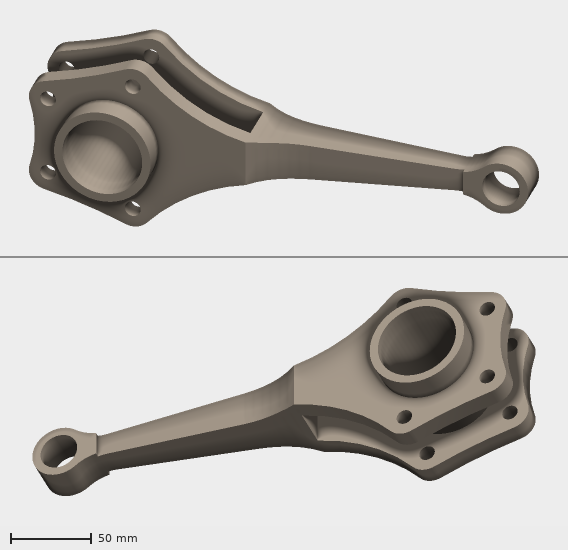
import cadquery as cq
import math

tube_radius = 31.5
bore_radius = 26.0
tube_length = 87.5

fork_width = 53.2
slot_width = 28.2
slot_end_x = 87.5
lobe_radius = 12.5
bolt_hole_radius = 5.0
upper_lobe = (14.7, 43.42)
rear_lobe = (-40.5, 26.1)
upper_edge_radius = 320.5
rear_edge_radius = 78.2

taper_start_x = 126.0
taper_end_x = 217.5
half_height_start = 12.0
half_height_end = 7.7
half_width_start = 13.8
half_width_end = 9.0
neck_radius = 119.5
width_blend_radius = 73.7

eye_center = (250.0, 0.0)
eye_radius = 17.5
eye_hole_radius = 12.2
eye_width = 24.0
eye_start_x = 225.3
eye_fillet_radius = 30.5

eye_end_x = eye_center[0] + eye_radius
taper_length = taper_end_x - taper_start_x
height_slope = (half_height_end - half_height_start) / taper_length
width_slope = (half_width_end - half_width_start) / taper_length


def toward(start, target, distance):
    """Point at a distance from start in the direction of target."""
    length = math.dist(start, target)
    return tuple(s + (t - s) * distance / length for s, t in zip(start, target))


def mirrored(point):
    return (point[0], -point[1])


def lobe_blend_center(first, second, radius):
    """Centre of a concave arc touching two lobes, left of the path from first to second."""
    span = math.dist(first, second)
    height = math.sqrt((radius + lobe_radius) ** 2 - (span / 2) ** 2)
    dx = (second[0] - first[0]) / span
    dz = (second[1] - first[1]) / span
    return (
        (first[0] + second[0]) / 2 - dz * height,
        (first[1] + second[1]) / 2 + dx * height,
    )


def arm_blend(circle_center, circle_radius, radius, side):
    """Centre and arm contact of an arc touching a circle and the arm's upper edge.

    The circle lies on the -X (side -1) or +X (side +1) side of the arm contact.
    """
    scale = math.hypot(1, height_slope)
    along = (1 / scale, height_slope / scale)
    normal = (-along[1], along[0])
    dx = circle_center[0] - taper_start_x
    dz = circle_center[1] - half_height_start
    circle_along = dx * along[0] + dz * along[1]
    circle_above = dx * normal[0] + dz * normal[1]
    reach = math.sqrt((circle_radius + radius) ** 2 - (radius - circle_above) ** 2)
    contact_along = circle_along - side * reach
    contact = (
        taper_start_x + contact_along * along[0],
        half_height_start + contact_along * along[1],
    )
    center = (contact[0] + radius * normal[0], contact[1] + radius * normal[1])
    return center, contact


def arc_middle(center, start, end):
    """Middle of the shorter arc from start to end."""
    chord_middle = ((start[0] + end[0]) / 2, (start[1] + end[1]) / 2)
    return toward(center, chord_middle, math.dist(center, start))


def side_outline():
    """XZ outline, as a solid spanning the full fork width."""
    rear_edge_center = lobe_blend_center(mirrored(rear_lobe), rear_lobe, rear_edge_radius)
    upper_edge_center = lobe_blend_center(rear_lobe, upper_lobe, upper_edge_radius)
    neck_center, neck_end = arm_blend(upper_lobe, lobe_radius, neck_radius, -1)
    fillet_center, fillet_start = arm_blend(eye_center, eye_radius, eye_fillet_radius, 1)

    rear_edge_top = toward(rear_lobe, rear_edge_center, lobe_radius)
    upper_edge_start = toward(rear_lobe, upper_edge_center, lobe_radius)
    upper_edge_end = toward(upper_lobe, upper_edge_center, lobe_radius)
    neck_start = toward(upper_lobe, neck_center, lobe_radius)
    fillet_end = toward(eye_center, fillet_center, eye_radius)

    rear_lobe_arc = (rear_lobe, rear_edge_top, upper_edge_start)
    upper_edge_arc = (upper_edge_center, upper_edge_start, upper_edge_end)
    upper_lobe_arc = (upper_lobe, upper_edge_end, neck_start)
    neck_arc = (neck_center, neck_start, neck_end)
    fillet_arc = (fillet_center, fillet_start, fillet_end)
    upper_arcs = [rear_lobe_arc, upper_edge_arc, upper_lobe_arc, neck_arc, fillet_arc]

    outline = cq.Workplane("XZ").moveTo(*rear_edge_top)
    for center, start, end in upper_arcs:
        if start == fillet_start:
            outline = outline.lineTo(*fillet_start)
        outline = outline.threePointArc(arc_middle(center, start, end), end)
    outline = outline.threePointArc((eye_end_x, 0), mirrored(fillet_end))
    for center, start, end in reversed(upper_arcs):
        if end == neck_end:
            outline = outline.lineTo(*mirrored(neck_end))
        outline = outline.threePointArc(mirrored(arc_middle(center, start, end)), mirrored(start))
    rear_middle = arc_middle(rear_edge_center, mirrored(rear_edge_top), rear_edge_top)
    outline = outline.threePointArc(rear_middle, rear_edge_top).close()
    return outline.extrude(fork_width / 2, both=True)


def width_envelope():
    """XY outline of the fork, tapered arm and eye, taller than the part."""
    tall = 2 * (upper_lobe[1] + lobe_radius)
    rear_x = rear_lobe[0] - lobe_radius
    half_fork = fork_width / 2
    scale = math.hypot(1, width_slope)
    blend_center = (
        taper_start_x - width_blend_radius * width_slope / scale,
        half_width_start + width_blend_radius / scale,
    )
    blend_drop = blend_center[1] - half_fork
    blend_start = (blend_center[0] - math.sqrt(width_blend_radius**2 - blend_drop**2), half_fork)
    blend_end = (taper_start_x, half_width_start)
    blend_middle = arc_middle(blend_center, blend_start, blend_end)
    arm_end = (eye_start_x, half_width_start + width_slope * (eye_start_x - taper_start_x))

    body = (
        cq.Workplane("XY")
        .moveTo(rear_x, -half_fork)
        .lineTo(rear_x, half_fork)
        .lineTo(*blend_start)
        .threePointArc(blend_middle, blend_end)
        .lineTo(*arm_end)
        .lineTo(*mirrored(arm_end))
        .lineTo(*mirrored(blend_end))
        .threePointArc(mirrored(blend_middle), mirrored(blend_start))
        .close()
        .extrude(tall / 2, both=True)
    )
    eye_length = eye_end_x - eye_start_x
    eye = cq.Workplane("XY").box(eye_length, eye_width, tall, centered=(False, True, True))
    return body.union(eye.translate((eye_start_x, 0, 0)))


def fork_slot():
    length = slot_end_x - rear_lobe[0] + lobe_radius
    height = 2 * (upper_lobe[1] + lobe_radius)
    slot = cq.Workplane("XY").box(length, slot_width, height)
    return slot.translate((slot_end_x - length / 2, 0, 0))


def cross_cylinder(center, radius):
    """Cylinder along Y, as long as the bearing tube."""
    start_point = (center[0], tube_length / 2, center[1])
    return cq.Workplane("XZ", origin=start_point).circle(radius).extrude(tube_length)


result = side_outline().intersect(width_envelope()).cut(fork_slot())
result = result.union(cross_cylinder((0, 0), tube_radius))
result = result.cut(cross_cylinder((0, 0), bore_radius))
result = result.cut(cross_cylinder(eye_center, eye_hole_radius))
for lobe in (upper_lobe, rear_lobe):
    for hole_center in (lobe, mirrored(lobe)):
        result = result.cut(cross_cylinder(hole_center, bolt_hole_radius))